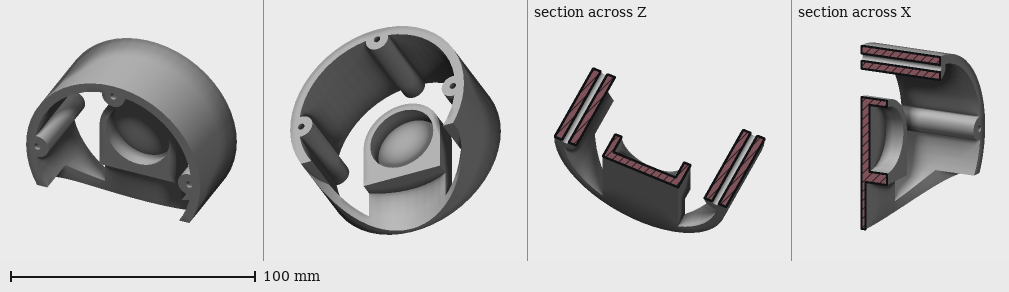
import cadquery as cq

outer_diameter = 78.0
depth = 36.6
wall = 4.0
outer_radius = outer_diameter / 2
inner_radius = outer_radius - wall

post_radius = 5.0
post_hole_diameter = 2.9
post_offset = outer_radius - post_radius
post_centres = [(-post_offset, 0), (post_offset, 0), (0, post_offset)]

pedestal_width = 34.3
pedestal_depth = 12.0
pedestal_front = depth - pedestal_depth
bore_diameter = 28.2
bore_floor = 4.0

relief_radius = 34.55
relief_top = -18.9


def cylinder_along_y(x, z, radius, start, length):
    return cq.Workplane("XZ", origin=(x, start, z)).circle(radius).extrude(-length)


def make_ring():
    envelope = cylinder_along_y(0, 0, outer_radius, 0, depth)
    return envelope.cut(cylinder_along_y(0, 0, inner_radius, 0, depth))


def make_posts():
    return cq.Workplane("XZ").pushPoints(post_centres).circle(post_radius).extrude(-depth)


def make_pedestal():
    top = cylinder_along_y(0, 0, pedestal_width / 2, pedestal_front, pedestal_depth)
    leg = (
        cq.Workplane("XZ", origin=(0, pedestal_front, -outer_radius / 2))
        .rect(pedestal_width, outer_radius)
        .extrude(-pedestal_depth)
    )
    envelope = cylinder_along_y(0, 0, outer_radius, 0, depth)
    return top.union(leg).intersect(envelope)


bore = cylinder_along_y(0, 0, bore_diameter / 2, pedestal_front, pedestal_depth - bore_floor)
post_holes = (
    cq.Workplane("XZ").pushPoints(post_centres).circle(post_hole_diameter / 2).extrude(-depth)
)
relief = (
    cq.Workplane("XY", origin=(0, 0, relief_top))
    .circle(relief_radius)
    .extrude(-outer_radius)
)

result = make_ring().union(make_posts()).union(make_pedestal())
result = result.cut(bore).cut(post_holes).cut(relief)